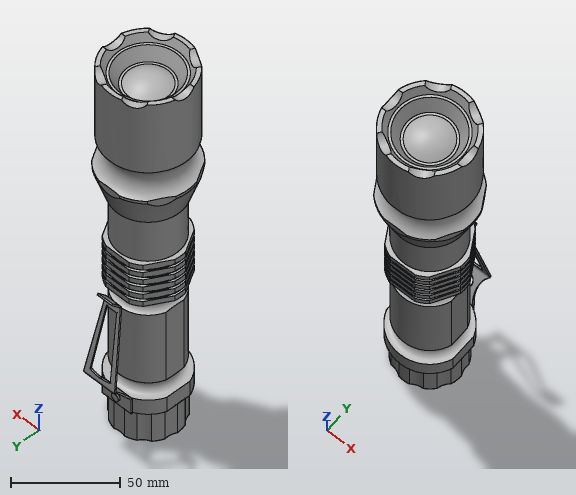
import cadquery as cq
import math

TOTAL_HEIGHT = 227.0
CAP_TOP_Z = 18.8
COLLAR_BOTTOM_Z = 20.2
COLLAR_TOP_Z = 29.5
RINGS_BOTTOM_Z = 91.0
RINGS_TOP_Z = 118.0
HEAD_BOTTOM_Z = 145.0
FLARE_LOW_Z = 163.5
HEAD_GROOVE_Z = 174.0
LENS_SEAT_Z = 211.0

SIDES = 6
SIDE_ANGLE = 360 / SIDES
FIRST_FLAT_ANGLE = 30.0

HEAD_RADIUS = 24.5
HEAD_BOTTOM_RADIUS = 19.7
FLARE_RADIUS = 25.9
FLARE_FLAT_DISTANCE = 25.0
HEAD_NECK_RADIUS = 19.5
HEAD_GROOVE_RADIUS = 9.5
MOUTH_RADIUS = 22.0
SCALLOP_DEPTH = 2.7
SCALLOP_RADIUS = 8.0
SPIKE_HEIGHT = 19.3
SPIKE_DEPTH = 0.2

REFLECTOR_RADIUS = 19.3
REFLECTOR_TOP_Z = 222.9
REFLECTOR_FLOOR_Z = 216.0
REFLECTOR_MOUTH_RADIUS = 18.0
REFLECTOR_FLOOR_RADIUS = 13.6
LENS_RADIUS = 12.3
LENS_RISE = 3.9

TUBE_RADIUS = 18.4
GRIP_FLAT_DISTANCE = 17.5
RING_RADIUS = 21.0
RING_FLAT_DISTANCE = 19.7
RING_GROOVES = 5
RING_PITCH = 4.8
RING_GROOVE_HEIGHT = 1.5
RING_GROOVE_DEPTH = 1.5
NECK_RADIUS = 15.0
NECK_GROOVE_RADIUS = 4.3
COLLAR_RADIUS = RING_RADIUS
COLLAR_FLAT_DISTANCE = 19.7
TAIL_NECK_RADIUS = 15.5

CAP_RADIUS = 18.8
FLUTES = 9
FLUTE_ANGLE = 360 / FLUTES
FIRST_FLUTE_ANGLE = 90.0
FLUTE_RADIUS = 10.0
FLUTE_DEPTH = 1.0

CLIP_THICKNESS = 1.0
CLIP_SEAT_Y = 19.3
CLIP_BEND_Y = 31.5
CLIP_BEND_Z = 41.8
CLIP_CONTACT_Y = 22.2
CLIP_CONTACT_Z = 88.5
CLIP_TIP_Y = 27.7
CLIP_TIP_Z = 94.0
CLIP_BEND_RADIUS = 2.3
CLIP_FOOT_HALF_WIDTH = 9.5
CLIP_WAIST_HALF_WIDTH = 7.0
CLIP_BEND_HALF_WIDTH = 10.2
CLIP_CONTACT_HALF_WIDTH = 5.0
CLIP_TIP_HALF_WIDTH = 4.8
CLIP_HOLE_RADIUS = 4.0
WINDOW_MARGIN = 4.0
WINDOW_BOTTOM_HALF_WIDTH = 6.5
WINDOW_TOP_HALF_WIDTH = 3.5
WINDOW_BOTTOM_SAG = 1.1
SCREW_HEAD_RADIUS = 2.3
SCREW_HEAD_HEIGHT = 1.1
SCREW_SHANK_RADIUS = 1.4
SCREW_LENGTH = 4.5


def cylinder(radius, bottom, top):
    return cq.Workplane("XY").workplane(offset=bottom).circle(radius).extrude(top - bottom)


def revolved(points):
    """Solid of revolution about Z from a closed (radius, z) outline."""
    return cq.Workplane("XZ").polyline(points).close().revolve(360, (0, 0, 0), (0, 1, 0))


def cut_flats(solid, distance, count, first_angle, bottom, top):
    """Cut equally spaced flats at the given distance from the axis, between two heights."""
    outside = (
        cq.Workplane("XY", origin=(distance, 0, bottom))
        .rect(FLARE_RADIUS, 2 * FLARE_RADIUS)
        .extrude(top - bottom)
        .translate((FLARE_RADIUS / 2, 0, 0))
    )
    for index in range(count):
        solid = solid.cut(outside.rotate((0, 0, 0), (0, 0, 1), first_angle + index * 360 / count))
    return solid


def groove_half_height(neck_radius, groove_radius, radius):
    """Height of a round-section groove's wall above its neck, where it reaches a given radius."""
    return math.sqrt(groove_radius**2 - (neck_radius + groove_radius - radius) ** 2)


def make_head():
    barrel_bottom = HEAD_GROOVE_Z + groove_half_height(HEAD_NECK_RADIUS, HEAD_GROOVE_RADIUS, HEAD_RADIUS)
    flare_top = HEAD_GROOVE_Z - groove_half_height(HEAD_NECK_RADIUS, HEAD_GROOVE_RADIUS, FLARE_RADIUS)
    head = (
        cq.Workplane("XZ")
        .moveTo(0, HEAD_BOTTOM_Z)
        .lineTo(HEAD_BOTTOM_RADIUS, HEAD_BOTTOM_Z)
        .lineTo(FLARE_RADIUS, FLARE_LOW_Z)
        .lineTo(FLARE_RADIUS, flare_top)
        .radiusArc((HEAD_NECK_RADIUS, HEAD_GROOVE_Z), HEAD_GROOVE_RADIUS)
        .radiusArc((HEAD_RADIUS, barrel_bottom), HEAD_GROOVE_RADIUS)
        .lineTo(HEAD_RADIUS, TOTAL_HEIGHT)
        .lineTo(MOUTH_RADIUS, TOTAL_HEIGHT)
        .lineTo(REFLECTOR_RADIUS, REFLECTOR_TOP_Z)
        .lineTo(REFLECTOR_RADIUS, LENS_SEAT_Z)
        .lineTo(0, LENS_SEAT_Z)
        .close()
        .revolve(360, (0, 0, 0), (0, 1, 0))
    )
    head = cut_flats(head, FLARE_FLAT_DISTANCE, SIDES, FIRST_FLAT_ANGLE, HEAD_BOTTOM_Z, HEAD_GROOVE_Z)

    scallop = (
        cq.Workplane("YZ")
        .center(0, TOTAL_HEIGHT - SCALLOP_DEPTH + SCALLOP_RADIUS)
        .circle(SCALLOP_RADIUS)
        .extrude(FLARE_RADIUS)
    )
    spike_top = barrel_bottom + SPIKE_HEIGHT
    lean = SPIKE_DEPTH / SPIKE_HEIGHT
    spike = (
        cq.Workplane("XZ")
        .polyline([
            (HEAD_RADIUS - lean * (spike_top - HEAD_GROOVE_Z), HEAD_GROOVE_Z),
            (HEAD_RADIUS + lean * (TOTAL_HEIGHT - spike_top), TOTAL_HEIGHT),
            (FLARE_RADIUS, TOTAL_HEIGHT),
            (FLARE_RADIUS, HEAD_GROOVE_Z),
        ])
        .close()
        .extrude(HEAD_RADIUS / 2, both=True)
    )
    for index in range(SIDES):
        turn = index * SIDE_ANGLE
        head = head.cut(scallop.rotate((0, 0, 0), (0, 0, 1), turn))
        head = head.cut(spike.rotate((0, 0, 0), (0, 0, 1), turn + FIRST_FLAT_ANGLE))
    return head


def make_reflector():
    return revolved([
        (LENS_RADIUS, LENS_SEAT_Z),
        (REFLECTOR_RADIUS, LENS_SEAT_Z),
        (REFLECTOR_RADIUS, REFLECTOR_TOP_Z),
        (REFLECTOR_MOUTH_RADIUS, REFLECTOR_TOP_Z),
        (REFLECTOR_FLOOR_RADIUS, REFLECTOR_FLOOR_Z),
        (LENS_RADIUS, REFLECTOR_FLOOR_Z),
    ])


def make_lens():
    dome_radius = (LENS_RADIUS**2 + LENS_RISE**2) / (2 * LENS_RISE)
    return (
        cq.Workplane("XZ")
        .moveTo(0, LENS_SEAT_Z)
        .lineTo(LENS_RADIUS, LENS_SEAT_Z)
        .lineTo(LENS_RADIUS, REFLECTOR_FLOOR_Z)
        .radiusArc((0, REFLECTOR_FLOOR_Z + LENS_RISE), -dome_radius)
        .close()
        .revolve(360, (0, 0, 0), (0, 1, 0))
    )


def make_body():
    lower_neck_z = COLLAR_TOP_Z + NECK_GROOVE_RADIUS
    upper_neck_z = RINGS_BOTTOM_Z - NECK_GROOVE_RADIUS
    groove_mouth_radius = NECK_RADIUS + NECK_GROOVE_RADIUS
    grip_offset = groove_half_height(NECK_RADIUS, NECK_GROOVE_RADIUS, TUBE_RADIUS)
    flat_offset = groove_half_height(NECK_RADIUS, NECK_GROOVE_RADIUS, GRIP_FLAT_DISTANCE)
    grip_bottom = lower_neck_z + grip_offset
    grip_top = upper_neck_z - grip_offset
    body = (
        cq.Workplane("XZ")
        .moveTo(0, CAP_TOP_Z)
        .lineTo(TAIL_NECK_RADIUS, CAP_TOP_Z)
        .lineTo(TAIL_NECK_RADIUS, COLLAR_BOTTOM_Z)
        .lineTo(COLLAR_RADIUS, COLLAR_BOTTOM_Z)
        .lineTo(COLLAR_RADIUS, COLLAR_TOP_Z)
        .lineTo(groove_mouth_radius, COLLAR_TOP_Z)
        .radiusArc((NECK_RADIUS, lower_neck_z), NECK_GROOVE_RADIUS)
        .radiusArc((TUBE_RADIUS, grip_bottom), NECK_GROOVE_RADIUS)
        .lineTo(TUBE_RADIUS, grip_top)
        .radiusArc((NECK_RADIUS, upper_neck_z), NECK_GROOVE_RADIUS)
        .radiusArc((groove_mouth_radius, RINGS_BOTTOM_Z), NECK_GROOVE_RADIUS)
        .lineTo(RING_RADIUS, RINGS_BOTTOM_Z)
        .lineTo(RING_RADIUS, RINGS_TOP_Z)
        .lineTo(TUBE_RADIUS, RINGS_TOP_Z)
        .lineTo(TUBE_RADIUS, HEAD_BOTTOM_Z)
        .lineTo(0, HEAD_BOTTOM_Z)
        .close()
        .revolve(360, (0, 0, 0), (0, 1, 0))
    )

    flat_bottom = lower_neck_z + flat_offset
    flat_top = upper_neck_z - flat_offset
    body = cut_flats(body, GRIP_FLAT_DISTANCE, 2, 0, flat_bottom, flat_top)
    body = cut_flats(body, COLLAR_FLAT_DISTANCE, 2, 0, COLLAR_BOTTOM_Z, COLLAR_TOP_Z)
    body = cut_flats(body, CLIP_SEAT_Y, 1, 90, COLLAR_BOTTOM_Z, COLLAR_TOP_Z)
    body = cut_flats(body, RING_FLAT_DISTANCE, SIDES, FIRST_FLAT_ANGLE, RINGS_BOTTOM_Z, RINGS_TOP_Z)

    for index in range(1, RING_GROOVES + 1):
        floor = RINGS_TOP_Z - index * RING_PITCH
        body = body.cut(revolved([
            (RING_RADIUS - RING_GROOVE_DEPTH, floor),
            (RING_RADIUS, floor),
            (RING_RADIUS, floor + RING_GROOVE_HEIGHT),
            (RING_RADIUS - RING_GROOVE_DEPTH, floor + RING_GROOVE_HEIGHT / 2),
        ]))
    return body


def make_tail_cap():
    cap = cylinder(CAP_RADIUS, 0, CAP_TOP_Z)
    flute = cylinder(FLUTE_RADIUS, 0, CAP_TOP_Z).translate((CAP_RADIUS - FLUTE_DEPTH + FLUTE_RADIUS, 0, 0))
    for index in range(FLUTES):
        cap = cap.cut(flute.rotate((0, 0, 0), (0, 0, 1), FIRST_FLUTE_ANGLE + index * FLUTE_ANGLE))
    return cap


def make_clip():
    t = CLIP_THICKNESS
    bends = [
        (CLIP_SEAT_Y + t / 2, COLLAR_BOTTOM_Z),
        (CLIP_SEAT_Y + t / 2, COLLAR_TOP_Z),
        (CLIP_BEND_Y - t / 2, CLIP_BEND_Z),
        (CLIP_CONTACT_Y, CLIP_CONTACT_Z),
        (CLIP_TIP_Y, CLIP_TIP_Z),
    ]
    path = cq.Wire.makePolygon([cq.Vector(0, y, z) for y, z in bends])
    inner_bends = path.Vertices()[1:-1]
    path = path.fillet(CLIP_BEND_RADIUS, inner_bends)
    foot = cq.Workplane("XY", origin=(0, CLIP_SEAT_Y + t / 2, COLLAR_BOTTOM_Z))
    strip = foot.rect(2 * CLIP_BEND_HALF_WIDTH, t).sweep(path)

    waist_z = (COLLAR_TOP_Z + CLIP_BEND_Z) / 2
    half = (
        cq.Workplane("XZ")
        .moveTo(0, COLLAR_BOTTOM_Z)
        .lineTo(CLIP_FOOT_HALF_WIDTH, COLLAR_BOTTOM_Z)
        .lineTo(CLIP_FOOT_HALF_WIDTH, COLLAR_TOP_Z)
        .threePointArc((CLIP_WAIST_HALF_WIDTH, waist_z), (CLIP_BEND_HALF_WIDTH, CLIP_BEND_Z))
        .lineTo(CLIP_CONTACT_HALF_WIDTH, CLIP_CONTACT_Z)
        .lineTo(CLIP_TIP_HALF_WIDTH, CLIP_CONTACT_Z)
        .lineTo(CLIP_TIP_HALF_WIDTH, CLIP_TIP_Z + t)
        .lineTo(0, CLIP_TIP_Z + t)
        .close()
        .extrude(-CLIP_BEND_Y)
    )
    clip = strip.intersect(half.union(half.mirror("YZ")))

    window_bottom = CLIP_BEND_Z + WINDOW_MARGIN
    window_top = CLIP_CONTACT_Z - WINDOW_MARGIN
    window = (
        cq.Workplane("XZ")
        .moveTo(-WINDOW_BOTTOM_HALF_WIDTH, window_bottom)
        .threePointArc((0, window_bottom - WINDOW_BOTTOM_SAG), (WINDOW_BOTTOM_HALF_WIDTH, window_bottom))
        .lineTo(WINDOW_TOP_HALF_WIDTH, window_top)
        .lineTo(-WINDOW_TOP_HALF_WIDTH, window_top)
        .close()
        .extrude(-CLIP_BEND_Y)
    )
    slope_middle = (0, (CLIP_SEAT_Y + CLIP_BEND_Y) / 2, waist_z)
    hole_plane = cq.Plane(
        origin=slope_middle, xDir=(1, 0, 0), normal=(0, CLIP_BEND_Z - COLLAR_TOP_Z, CLIP_SEAT_Y - CLIP_BEND_Y)
    )
    slope_hole = cq.Workplane(hole_plane).circle(CLIP_HOLE_RADIUS).extrude(CLIP_HOLE_RADIUS, both=True)
    return clip.cut(window).cut(slope_hole)


def make_screw():
    z = (COLLAR_BOTTOM_Z + COLLAR_TOP_Z) / 2
    seat = CLIP_SEAT_Y + CLIP_THICKNESS
    plane = cq.Workplane("XZ", origin=(0, seat, z))
    head = plane.circle(SCREW_HEAD_RADIUS).extrude(-SCREW_HEAD_HEIGHT)
    shank = plane.circle(SCREW_SHANK_RADIUS).extrude(SCREW_LENGTH)
    return head.union(shank)


head = make_head()
reflector = make_reflector()
lens = make_lens()
tail_cap = make_tail_cap()
screw = make_screw()
body = make_body().cut(screw)
clip = make_clip().cut(screw)

result = cq.Compound.makeCompound([
    *head.solids().vals(),
    *reflector.solids().vals(),
    *lens.solids().vals(),
    *body.solids().vals(),
    *tail_cap.solids().vals(),
    *clip.solids().vals(),
    *screw.solids().vals(),
])